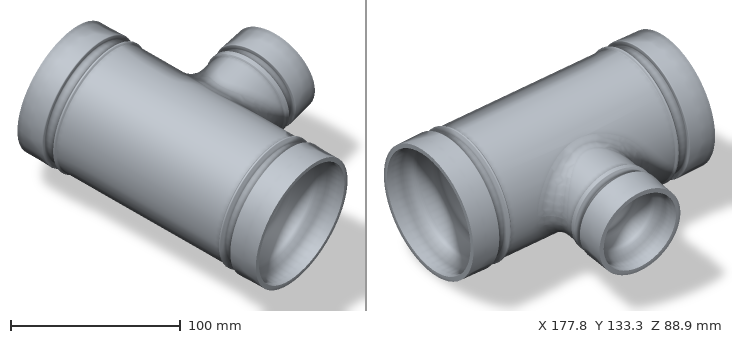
import cadquery as cq
import math

RUN_LENGTH = 177.8
BRANCH_REACH = 88.9
JUNCTION_FILLET = 12.5

RUN_COLLAR_MOUTH = 88.2
RUN_COLLAR = 88.9
RUN_GROOVE = 82.1
RUN_BEAD = 88.2
RUN_BODY = 85.9
RUN_BORE_MOUTH = 82.1
RUN_BORE_THROAT = 74.1
RUN_BORE_BODY = 79.1

BRANCH_COLLAR_MOUTH = 59.5
BRANCH_COLLAR = 60.5
BRANCH_GROOVE = 53.7
BRANCH_BEAD = 59.5
BRANCH_BODY = 57.3
BRANCH_BORE_MOUTH = 53.3
BRANCH_BORE_THROAT = 45.3
BRANCH_BORE_BODY = 50.5

COLLAR_END = 19.0
RUN_BEAD_START = 24.7
BRANCH_BEAD_START = 22.8
BEAD_RISE = 2.0
BEAD_FALL = 0.9
BEAD_END = 28.5
EDGE_ROUND = 0.5
BEAD_ROUND = 0.4

TAPER_START = 11.7
TAPER_END = 17.8
THROAT_END = 32.7
BODY_BORE_START = 36.6
BORE_ROUND = 5.3
THROAT_EXIT_ROUND = 9.8


def tangent_arc_points(before, corner, after, radius):
    """Start, middle and end of the arc that rounds a corner between two straight sides."""
    corner = cq.Vector(*corner)
    to_before = (cq.Vector(*before) - corner).normalized()
    to_after = (cq.Vector(*after) - corner).normalized()
    half_angle = to_before.getAngle(to_after) / 2
    setback = radius / math.tan(half_angle)
    arc_middle = (to_before + to_after).normalized() * (radius / math.sin(half_angle) - radius)
    return corner + to_before * setback, corner + arc_middle, corner + to_after * setback


def revolved_profile(corners, length):
    """Revolve (depth, diameter, rounding) corners about X, closed along the axis."""
    points = [(depth, diameter / 2) for depth, diameter, _ in corners]
    points.append((length, points[-1][1]))
    outline = cq.Workplane("XY").moveTo(0, 0).lineTo(*points[0])
    for index in range(1, len(corners)):
        arc_start, arc_middle, arc_end = tangent_arc_points(
            points[index - 1], points[index], points[index + 1], corners[index][2]
        )
        outline = outline.lineTo(arc_start.x, arc_start.y)
        outline = outline.threePointArc((arc_middle.x, arc_middle.y), (arc_end.x, arc_end.y))
    outline = outline.lineTo(*points[-1]).lineTo(length, 0).close()
    return outline.revolve(360, (0, 0, 0), (1, 0, 0))


def grooved_end(length, mouth, collar, groove, bead, body, bead_start):
    """Outside of one pipe end: flared collar, groove, bead and plain body."""
    corners = [
        (0, mouth, 0),
        (COLLAR_END, collar, EDGE_ROUND),
        (COLLAR_END, groove, EDGE_ROUND),
        (bead_start, groove, BEAD_ROUND),
        (bead_start + BEAD_RISE, bead, BEAD_ROUND),
        (BEAD_END - BEAD_FALL, bead, BEAD_ROUND),
        (BEAD_END, body, BEAD_ROUND),
    ]
    return revolved_profile(corners, length)


def stepped_bore(length, mouth, throat, body):
    """Inside of one pipe end: mouth, narrow throat under the groove, wider body."""
    corners = [
        (0, mouth, 0),
        (TAPER_START, mouth, BORE_ROUND),
        (TAPER_END, throat, BORE_ROUND),
        (THROAT_END, throat, THROAT_EXIT_ROUND),
        (BODY_BORE_START, body, BORE_ROUND),
    ]
    return revolved_profile(corners, length)


def both_run_ends(end):
    near = end.translate((-RUN_LENGTH / 2, 0, 0))
    return near.union(near.mirror("YZ"))


def branch_end(end):
    return end.rotate((0, 0, 0), (0, 0, 1), -90).translate((0, BRANCH_REACH, 0))


run_outside = both_run_ends(
    grooved_end(
        RUN_LENGTH / 2, RUN_COLLAR_MOUTH, RUN_COLLAR, RUN_GROOVE, RUN_BEAD, RUN_BODY, RUN_BEAD_START
    )
)
branch_outside = branch_end(
    grooved_end(
        BRANCH_REACH, BRANCH_COLLAR_MOUTH, BRANCH_COLLAR, BRANCH_GROOVE, BRANCH_BEAD, BRANCH_BODY,
        BRANCH_BEAD_START,
    )
)
tee = run_outside.union(branch_outside)

branch_radius = BRANCH_BODY / 2
run_radius = RUN_BODY / 2
box_margin = 1.8
box_side = branch_radius + box_margin
seam_box = cq.selectors.BoxSelector(
    (-box_side, branch_radius, -box_side),
    (box_side, run_radius + box_margin, box_side),
)
tee = tee.edges(seam_box).fillet(JUNCTION_FILLET)

run_bore = both_run_ends(
    stepped_bore(RUN_LENGTH / 2, RUN_BORE_MOUTH, RUN_BORE_THROAT, RUN_BORE_BODY)
)
branch_bore = branch_end(
    stepped_bore(BRANCH_REACH, BRANCH_BORE_MOUTH, BRANCH_BORE_THROAT, BRANCH_BORE_BODY)
)
result = tee.cut(run_bore).cut(branch_bore)